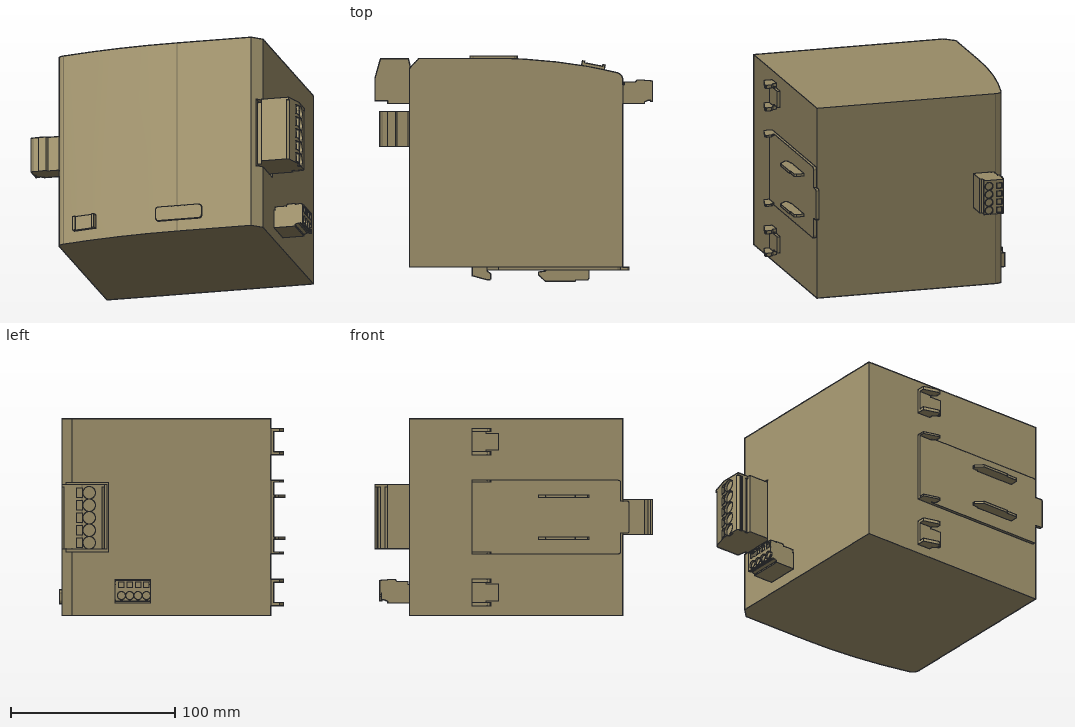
import cadquery as cq
import math


HOUSING_X = 130.2
HOUSING_Y = 127.3
HOUSING_Z = 120.0
CHAMFER_X = 6.0
CHAMFER_Y = 6.1
ARC_START_X = 52.5
ARC_RADIUS = 319.7
CORNER_RADIUS = 4.7

LABEL_X = 36.9
LABEL_LENGTH = 29.0
LABEL_THICKNESS = 1.5
LABEL_Z = 7.1
LABEL_HEIGHT = 8.6
LABEL_CORNER_RADIUS = 1.9
FRONT_ROOT = 1.7
PORT_MID_X = 112.0
PORT_LENGTH = 14.2
PORT_RISE = 1.9
PORT_LIP_RISE = 2.9
PORT_LIP_WIDTH = 1.5

POWER_REACH = 21.0
POWER_Z = 40.6
POWER_HEIGHT = 39.3
POWER_CAP = 1.5
POWER_LOW_Y = 99.7
POWER_HIGH_Y = 127.2
POWER_FACE_Y = 101.5
POWER_BEVEL_Y = 115.1
POWER_BEVEL_X = -17.6
POWER_STEP_X = -13.2
POWER_GROOVE_WIDTH = 1.5
POWER_GROOVE_DEPTH = 1.0
POWER_GROOVES_X = (-19.0, POWER_STEP_X - POWER_GROOVE_WIDTH)
POWER_EDGE_CHAMFER = 1.4
POWER_FRONT_CHAMFER = 1.2
POLE_COUNT = 5
POLE_PITCH = 7.6
POLE_FIRST_Z = 44.4
POLE_Y = 110.7
POLE_DIAMETER = 7.6
POLE_DEPTH = 1.7
SLOT_LOW_Y = 114.8
SLOT_HIGH_Y = 118.4
SLOT_WIDTH = 5.6

RECESS_DEPTH = 3.5
RECESS_LOW_Y = 99.0
RECESS_HIGH_Y = HOUSING_Y
RECESS_Z = 38.6
RECESS_HEIGHT = 42.5

SIGNAL_REACH = 18.1
SIGNAL_LOW_REACH = 13.2
SIGNAL_TIP_REACH = 16.8
SIGNAL_THICKNESS = 14.4
SIGNAL_TIP_TOP = 14.0
SIGNAL_ROOT_TOP = 13.2
SIGNAL_NOTCH_WIDTH = 0.7
SIGNAL_NOTCH_DEPTH = 1.9
SIGNAL_LENGTH = 21.5
SIGNAL_LEFT_Y = 73.5
SIGNAL_LEFT_Z = 7.6
SIGNAL_RIGHT_Y = 99.7
SIGNAL_RIGHT_Z = 49.3
SIGNAL_POLES = 4
SIGNAL_PITCH = 5.0
SIGNAL_FIRST = 2.4
SIGNAL_HOLE_HEIGHT = 4.5
SIGNAL_HOLE_DIAMETER = 4.9
SIGNAL_SLOT_HEIGHT = 11.2
SIGNAL_SLOT_WIDTH = 3.4
SIGNAL_DEPTH = 1.2

SHEET = 1.9
SHEET_X = 38.3
CLIP_HEIGHT = 16.3
CLIP_EDGE_GAP = 6.0
CLIP_WIDE_END_X = 46.9
CLIP_TONGUE_END_X = 54.5
CLIP_TONGUE_HEIGHT = 10.2
CLIP_FLANGE = 2.0
SLIDE_HEIGHT = 44.9
SLIDE_END_X = 128.9
SLIDE_CORNER_RADIUS = 1.5
SLIDE_FLANGE = 1.2
TAB_END_X = 134.0
TAB_HEIGHT = 19.5
TAB_CORNER_RADIUS = 1.0
FIN_THICKNESS = 1.5
FIN_SPACING = 25.5

MID_Z = HOUSING_Z / 2


def box(x, y, z, length, width, height):
    """Box from its lowest corner and its sizes along X, Y and Z."""
    return cq.Workplane("XY").box(length, width, height, centered=False).translate((x, y, z))


def upright_prism(points, z, height):
    """Closed XY outline raised from z."""
    return cq.Workplane("XY").workplane(offset=z).polyline(points).close().extrude(height)


def front_y(x):
    """Y of the curved front face at a given X."""
    return HOUSING_Y - ARC_RADIUS + math.sqrt(ARC_RADIUS**2 - (x - ARC_START_X) ** 2)


def make_housing():
    arc_mid_x = (ARC_START_X + HOUSING_X) / 2
    return (
        cq.Workplane("XY")
        .lineTo(HOUSING_X, 0)
        .lineTo(HOUSING_X, front_y(HOUSING_X))
        .threePointArc((arc_mid_x, front_y(arc_mid_x)), (ARC_START_X, HOUSING_Y))
        .lineTo(CHAMFER_X, HOUSING_Y)
        .lineTo(0, HOUSING_Y - CHAMFER_Y)
        .close()
        .extrude(HOUSING_Z)
        .edges("|Z")
        .edges(">X")
        .edges(">Y")
        .fillet(CORNER_RADIUS)
    )


def make_label():
    depth = FRONT_ROOT + LABEL_THICKNESS
    label = box(LABEL_X, HOUSING_Y - FRONT_ROOT, LABEL_Z, LABEL_LENGTH, depth, LABEL_HEIGHT)
    return label.edges("|Y").fillet(LABEL_CORNER_RADIUS)


def make_port():
    """Shallow block that follows the slope of the front face, with a lip at each end."""
    half = PORT_LENGTH / 2
    port = box(-half, -FRONT_ROOT, LABEL_Z, PORT_LENGTH, FRONT_ROOT + PORT_RISE, LABEL_HEIGHT)
    for x in (-half, half - PORT_LIP_WIDTH):
        lip = box(x, -FRONT_ROOT, LABEL_Z, PORT_LIP_WIDTH, FRONT_ROOT + PORT_LIP_RISE, LABEL_HEIGHT)
        port = port.union(lip)
    slope = -math.degrees(math.asin((PORT_MID_X - ARC_START_X) / ARC_RADIUS))
    return port.rotate((0, 0, 0), (0, 0, 1), slope).translate((PORT_MID_X, front_y(PORT_MID_X), 0))


def make_power_recess():
    return box(0, RECESS_LOW_Y, RECESS_Z, RECESS_DEPTH, RECESS_HIGH_Y - RECESS_LOW_Y, RECESS_HEIGHT)


def make_power_connector():
    outline = [
        (RECESS_DEPTH, POWER_LOW_Y),
        (POWER_STEP_X, POWER_LOW_Y),
        (POWER_STEP_X, POWER_FACE_Y),
        (-POWER_REACH, POWER_FACE_Y),
        (-POWER_REACH, POWER_BEVEL_Y),
        (POWER_BEVEL_X, POWER_HIGH_Y),
        (-0.5, POWER_HIGH_Y),
        (0.8, HOUSING_Y - CHAMFER_Y),
        (RECESS_DEPTH, HOUSING_Y - CHAMFER_Y),
    ]
    body = upright_prism(outline, POWER_Z, POWER_HEIGHT)

    grooved = POWER_HEIGHT - POWER_CAP
    bevel = [
        (-POWER_REACH, POWER_FACE_Y),
        (-POWER_REACH + POWER_EDGE_CHAMFER, POWER_FACE_Y),
        (-POWER_REACH, POWER_FACE_Y + POWER_EDGE_CHAMFER),
    ]
    body = body.cut(upright_prism(bevel, POWER_Z, grooved))
    slope = (POWER_BEVEL_X + POWER_REACH) / (POWER_HIGH_Y - POWER_BEVEL_Y)
    front_bevel = [
        (POWER_BEVEL_X, POWER_HIGH_Y),
        (POWER_BEVEL_X + POWER_FRONT_CHAMFER, POWER_HIGH_Y),
        (POWER_BEVEL_X - slope * POWER_FRONT_CHAMFER, POWER_HIGH_Y - POWER_FRONT_CHAMFER),
    ]
    body = body.cut(upright_prism(front_bevel, POWER_Z, grooved))
    for x in POWER_GROOVES_X:
        body = body.cut(box(x, POWER_FACE_Y, POWER_Z, POWER_GROOVE_WIDTH, POWER_GROOVE_DEPTH, grooved))

    slot_length = slope * (SLOT_HIGH_Y - POWER_BEVEL_Y) + POLE_DEPTH
    for pole in range(POLE_COUNT):
        z = POLE_FIRST_Z + pole * POLE_PITCH
        entry = cq.Workplane("YZ", origin=(-POWER_REACH, POLE_Y, z)).circle(POLE_DIAMETER / 2)
        body = body.cut(entry.extrude(POLE_DEPTH))
        slot_z = z - SLOT_WIDTH / 2
        slot = box(-POWER_REACH, SLOT_LOW_Y, slot_z, slot_length, SLOT_HIGH_Y - SLOT_LOW_Y, SLOT_WIDTH)
        body = body.cut(slot)
    return body


def make_signal_connector():
    """Plug with its foot on YZ, reaching along -X, its poles in a row along Y, its underside at Z = 0."""
    outline = [
        (0, 0),
        (-SIGNAL_LOW_REACH, 0),
        (-SIGNAL_LOW_REACH, 1.0),
        (-15.2, 1.9),
        (-SIGNAL_TIP_REACH, 1.9),
        (-SIGNAL_TIP_REACH, 1.4),
        (-SIGNAL_REACH, 1.4),
        (-SIGNAL_REACH, 13.7),
        (-SIGNAL_TIP_REACH, SIGNAL_TIP_TOP),
        (-SIGNAL_LOW_REACH, SIGNAL_TIP_TOP),
        (-SIGNAL_LOW_REACH, SIGNAL_THICKNESS),
        (-8.5, SIGNAL_THICKNESS),
        (-7.6, SIGNAL_ROOT_TOP),
        (-SIGNAL_NOTCH_WIDTH, SIGNAL_ROOT_TOP),
        (-SIGNAL_NOTCH_WIDTH, SIGNAL_ROOT_TOP - SIGNAL_NOTCH_DEPTH),
        (0, SIGNAL_ROOT_TOP - SIGNAL_NOTCH_DEPTH),
    ]
    plug = cq.Workplane("XZ").polyline(outline).close().extrude(-SIGNAL_LENGTH)
    for pole in range(SIGNAL_POLES):
        y = SIGNAL_FIRST + pole * SIGNAL_PITCH
        hole = cq.Workplane("YZ", origin=(-SIGNAL_REACH, y, SIGNAL_HOLE_HEIGHT))
        hole = hole.circle(SIGNAL_HOLE_DIAMETER / 2)
        plug = plug.cut(hole.extrude(SIGNAL_DEPTH))
        slot = cq.Workplane("YZ", origin=(-SIGNAL_REACH, y, SIGNAL_SLOT_HEIGHT))
        slot = slot.rect(SIGNAL_SLOT_WIDTH, SIGNAL_SLOT_WIDTH)
        plug = plug.cut(slot.extrude(SIGNAL_DEPTH))
    return plug


def make_left_signal_connector():
    return make_signal_connector().translate((0, SIGNAL_LEFT_Y, SIGNAL_LEFT_Z))


def make_right_signal_connector():
    plug = make_signal_connector().mirror("YZ").rotate((0, 0, 0), (1, 0, 0), 90)
    return plug.mirror("XZ").translate((HOUSING_X, SIGNAL_RIGHT_Y, SIGNAL_RIGHT_Z))


def make_hook_flange(z, thickness):
    """Hook that grips the rail, standing off the rear face."""
    return (
        cq.Workplane("XY")
        .workplane(offset=z)
        .moveTo(SHEET_X, 0)
        .lineTo(SHEET_X, -5.2)
        .lineTo(47.5, -7.8)
        .lineTo(49.1, -7.8)
        .lineTo(49.8, -7.1)
        .lineTo(49.8, -4.0)
        .lineTo(47.4, -2.2)
        .lineTo(47.4, 0)
        .close()
        .extrude(thickness)
    )


def make_flange_pair(z, height, thickness):
    upper = make_hook_flange(z + height - thickness, thickness)
    return make_hook_flange(z, thickness).union(upper)


def make_clip(z):
    tongue_z = z + (CLIP_HEIGHT - CLIP_TONGUE_HEIGHT) / 2
    base = box(SHEET_X, -SHEET, z, CLIP_WIDE_END_X - SHEET_X, SHEET, CLIP_HEIGHT)
    tongue = box(SHEET_X, -SHEET, tongue_z, CLIP_TONGUE_END_X - SHEET_X, SHEET, CLIP_TONGUE_HEIGHT)
    return base.union(tongue).union(make_flange_pair(z, CLIP_HEIGHT, CLIP_FLANGE))


def make_fin(z):
    """Pointed guide fin that stands on the slide."""
    outline = [
        (83.6, -SHEET / 2),
        (83.0, -2.4),
        (78.7, -2.9),
        (78.7, -4.7),
        (83.0, -8.6),
        (101.0, -8.6),
        (101.5, -8.0),
        (108.7, -8.0),
        (109.5, -6.8),
        (109.5, -SHEET / 2),
    ]
    return upright_prism(outline, z, FIN_THICKNESS)


def make_slide():
    """Long plate with hooks at one end, a pull tab past the other and two fins."""
    z = MID_Z - SLIDE_HEIGHT / 2
    plate = box(SHEET_X, -SHEET, z, SLIDE_END_X - SHEET_X, SHEET, SLIDE_HEIGHT)
    plate = plate.edges("|Y").edges(">X").fillet(SLIDE_CORNER_RADIUS)
    tab = box(SHEET_X, -SHEET, MID_Z - TAB_HEIGHT / 2, TAB_END_X - SHEET_X, SHEET, TAB_HEIGHT)
    tab = tab.edges("|Y").edges(">X").fillet(TAB_CORNER_RADIUS)
    slide = plate.union(tab).union(make_flange_pair(z, SLIDE_HEIGHT, SLIDE_FLANGE))
    for side in (-1, 1):
        slide = slide.union(make_fin(MID_Z + side * FIN_SPACING / 2 - FIN_THICKNESS / 2))
    return slide


result = make_housing().cut(make_power_recess())
for feature in (
    make_label(),
    make_port(),
    make_power_connector(),
    make_left_signal_connector(),
    make_right_signal_connector(),
    make_clip(CLIP_EDGE_GAP),
    make_clip(HOUSING_Z - CLIP_EDGE_GAP - CLIP_HEIGHT),
    make_slide(),
):
    result = result.union(feature)